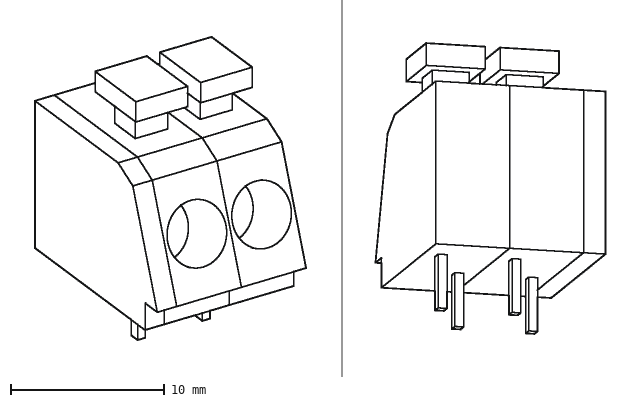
import cadquery as cq


pole_count = 2
pole_pitch = 5.0
end_plate_thickness = 1.5

body_length = 15.0
body_height = 10.9
foot_length = 13.5
foot_height = 2.0
top_length = 10.2
brow_x = 12.0
brow_z = 10.0

wire_hole_diameter = 4.5
wire_hole_depth = 5.0

button_x = 6.7
cap_length = 5.0
cap_width = 4.0
cap_thickness = 1.5
stem_side = 2.5
stem_height = 2.0

pin_length = 3.6
pin_size_x = 0.8
pin_size_y = 0.6
rear_pin_x = 3.3
pin_spacing_x = 5.0
pin_spacing_y = 2.5


def profile_slab(y_start, thickness):
    """Side profile extruded from y_start toward +Y."""
    return (
        cq.Workplane("XZ", origin=(0, y_start, 0))
        .moveTo(0, 0)
        .lineTo(foot_length, 0)
        .lineTo(foot_length, foot_height)
        .lineTo(body_length, foot_height)
        .lineTo(brow_x, brow_z)
        .lineTo(top_length, body_height)
        .lineTo(0, body_height)
        .close()
        .extrude(-thickness)
    )


def wire_hole(y_center):
    """Blind bore entering at the middle of the sloped face."""
    slope_run = body_length - brow_x
    slope_rise = brow_z - foot_height
    mouth = cq.Vector(brow_x + slope_run / 2, y_center, foot_height + slope_rise / 2)
    inward = cq.Vector(-slope_rise, 0, -slope_run)
    return cq.Solid.makeCylinder(wire_hole_diameter / 2, wire_hole_depth, mouth, inward)


def make_housing(y_center):
    """Housing of one pole with its wire entry."""
    slab = profile_slab(y_center - pole_pitch / 2, pole_pitch)
    return slab.cut(wire_hole(y_center))


def make_button(y_center):
    """Square stem standing on the housing, with a wider cap."""
    stem = (
        cq.Workplane("XY", origin=(button_x, y_center, body_height))
        .rect(stem_side, stem_side)
        .extrude(stem_height)
    )
    return stem.faces(">Z").workplane().rect(cap_length, cap_width).extrude(cap_thickness)


def make_pin(x_center, y_center):
    """Rectangular pin hanging from the mounting face."""
    return (
        cq.Workplane("XY", origin=(x_center, y_center, 0))
        .rect(pin_size_x, pin_size_y)
        .extrude(-pin_length)
    )


end_plate = profile_slab(-end_plate_thickness, end_plate_thickness)
bodies = [end_plate.val()]

for pole in range(pole_count):
    pole_y = (pole + 0.5) * pole_pitch
    rear_pin = make_pin(rear_pin_x, pole_y + pin_spacing_y / 2)
    front_pin = make_pin(rear_pin_x + pin_spacing_x, pole_y - pin_spacing_y / 2)
    bodies += [
        make_housing(pole_y).val(),
        make_button(pole_y).val(),
        rear_pin.val(),
        front_pin.val(),
    ]

result = cq.Compound.makeCompound(bodies)